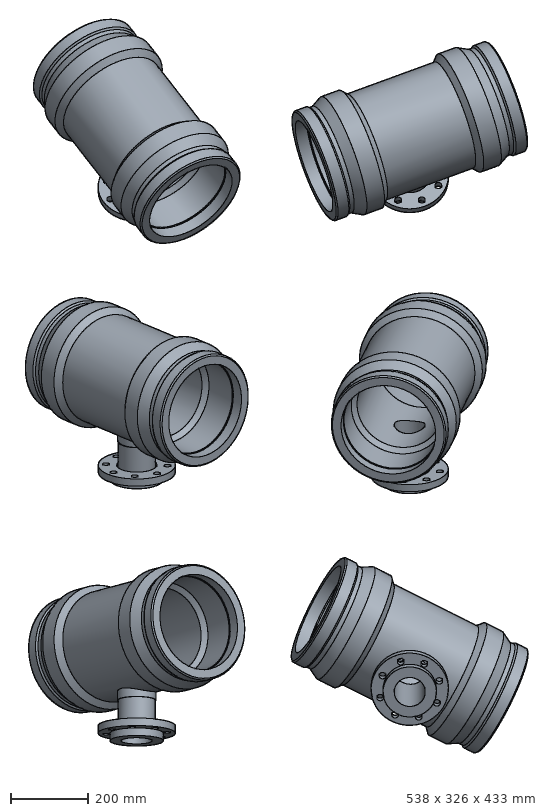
import cadquery as cq

length = 538.0
half_length = length / 2
pipe_radius = 293.0 / 2
bore_radius = 225.0 / 2

socket_bore_radius = 250.0 / 2
lip_radius = 303.5 / 2
neck_radius = 294.5 / 2
bulge_radius = 326.0 / 2
lip_chamfer = 4.0
lip_flat_end = 34.0
lip_end = 39.0
neck_end = 51.0
bulge_start = 80.0
bulge_end = 129.5
socket_end = 145.0
socket_bore_end = 128.0
bore_taper_end = 141.0

groove_radius = 4.0 / 2
groove_position = 34.5

branch_radius = 96.5 / 2
branch_bore_radius = 80.0 / 2
collar_radius = 100.0 / 2
collar_level = 163.0
flange_top_level = 230.0
flange_thickness = 20.0
flange_bottom_level = flange_top_level + flange_thickness
branch_end_level = 270.0
stub_radius = 138.0 / 2

flange_radius = 200.0 / 2
flange_hole_radius = 104.0 / 2
bolt_circle_radius = 160.0 / 2
bolt_hole_diameter = 18.0
bolt_count = 8


def vertical_cylinder(radius, top_level, bottom_level):
    """Cylinder on the branch axis between two levels below the main axis."""
    height = bottom_level - top_level
    return cq.Workplane("XY").workplane(offset=-bottom_level).circle(radius).extrude(height)


def revolve_about_x(points):
    """Revolve a closed (x, radius) outline about the X axis."""
    return cq.Workplane("XY").polyline(points).close().revolve(360, (0, 0, 0), (1, 0, 0))


def mirrored_outline(end_points):
    """Closed outline from (distance from mouth, radius) points, mirrored to the other end."""
    left = [(distance - half_length, radius) for distance, radius in end_points]
    right = [(-x, radius) for x, radius in reversed(left)]
    return left + right


def main_body():
    return revolve_about_x(mirrored_outline([
        (0, 0),
        (0, lip_radius - lip_chamfer),
        (lip_chamfer, lip_radius),
        (lip_flat_end, lip_radius),
        (lip_end, neck_radius),
        (neck_end, neck_radius),
        (bulge_start, bulge_radius),
        (bulge_end, bulge_radius),
        (socket_end, pipe_radius),
    ]))


def main_bore():
    return revolve_about_x(mirrored_outline([
        (0, 0),
        (0, socket_bore_radius),
        (socket_bore_end, socket_bore_radius),
        (bore_taper_end, bore_radius),
    ]))


def socket_groove(side):
    """Ring that cuts the half-round groove in one socket; side is -1 or 1."""
    groove_x = side * (half_length - groove_position)
    ring = cq.Solid.makeTorus(
        socket_bore_radius, groove_radius, cq.Vector(groove_x, 0, 0), cq.Vector(1, 0, 0)
    )
    return cq.Workplane(ring)


def branch():
    tube = vertical_cylinder(branch_radius, 0, branch_end_level)
    collar = vertical_cylinder(collar_radius, 0, collar_level)
    stub = vertical_cylinder(stub_radius, flange_bottom_level, branch_end_level)
    return tube.union(collar).union(stub)


def flange():
    ring = vertical_cylinder(flange_radius, flange_top_level, flange_bottom_level)
    ring = ring.cut(vertical_cylinder(flange_hole_radius, flange_top_level, flange_bottom_level))
    return (
        ring.faces(">Z").workplane(origin=(0, 0, 0))
        .polarArray(bolt_circle_radius, 0, 360, bolt_count)
        .hole(bolt_hole_diameter)
    )


result = main_body().union(branch()).union(flange())
result = result.cut(main_bore())
result = result.cut(vertical_cylinder(branch_bore_radius, 0, branch_end_level))
for end_side in (-1, 1):
    result = result.cut(socket_groove(end_side))